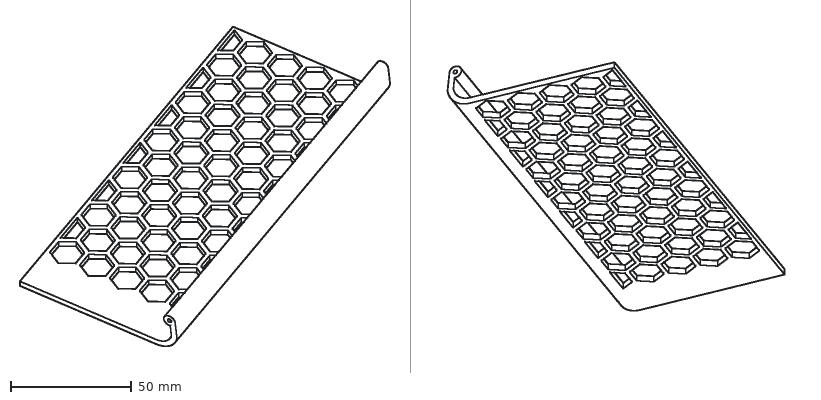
import cadquery as cq
import math

width = 76.2
length = 172.7
height = 20.0
thickness = 2.8

bend_outer_radius = 10.2
bend_inner_radius = bend_outer_radius - thickness
bend_angle = 82.0
bend_start_x = width - bend_outer_radius * math.sin(math.radians(bend_angle))

bead_diameter = 5.5
bead_radius = bead_diameter / 2
bead_x = 72.5
bead_z = height - bead_radius
bore_diameter = 1.7

hex_sides = 6
hex_half_angle = 180 / hex_sides
hex_across_flats = 12.5
hex_across_corners = hex_across_flats / math.cos(math.radians(hex_half_angle))
column_pitch = 14.5
row_count = 12
columns_per_row = 5
grid_first_x = 8.3
grid_back_margin = 8.3
grid_front_margin = 24.5
row_pitch = (length - grid_back_margin - grid_front_margin) / (row_count - 1)
window_left = 1.5
window_right = 65.6


def bend_point(radius, angle):
    """Point (x, z) on the bend, with the angle measured from straight down."""
    turn = math.radians(angle)
    x = bend_start_x + radius * math.sin(turn)
    z = bend_outer_radius - radius * math.cos(turn)
    return x, z


def along_y(sketch):
    """Extrude an XZ sketch over the full length, from y = 0 to y = length."""
    return sketch.extrude(-length)


def make_plate_and_bend():
    outer_end = bend_point(bend_outer_radius, bend_angle)
    inner_end = bend_point(bend_inner_radius, bend_angle)
    sketch = (
        cq.Workplane("XZ")
        .moveTo(0, 0)
        .lineTo(bend_start_x, 0)
        .threePointArc(bend_point(bend_outer_radius, bend_angle / 2), outer_end)
        .lineTo(*inner_end)
        .threePointArc(bend_point(bend_inner_radius, bend_angle / 2), (bend_start_x, thickness))
        .lineTo(0, thickness)
        .close()
    )
    return along_y(sketch)


def make_wall():
    """Flat wall that leans inward; its outer face is tangent to the bead."""
    outer_x, outer_z = bend_point(bend_outer_radius, bend_angle)
    inner_x, inner_z = bend_point(bend_inner_radius, bend_angle)
    to_bead = math.hypot(bead_x - outer_x, bead_z - outer_z)
    bead_direction = math.atan2(bead_z - outer_z, bead_x - outer_x)
    wall_direction = bead_direction - math.asin(bead_radius / to_bead)
    outer_run = math.sqrt(to_bead**2 - bead_radius**2)
    inner_run = (bead_z - inner_z) / math.sin(wall_direction)
    outer_top = (
        outer_x + outer_run * math.cos(wall_direction),
        outer_z + outer_run * math.sin(wall_direction),
    )
    inner_top = (inner_x + inner_run * math.cos(wall_direction), bead_z)
    corners = [(outer_x, outer_z), outer_top, inner_top, (inner_x, inner_z)]
    return along_y(cq.Workplane("XZ").polyline(corners).close())


def make_bead_cylinder(diameter):
    return along_y(cq.Workplane("XZ").center(bead_x, bead_z).circle(diameter / 2))


def hex_centers():
    """Hexagon centers; every other row, from the second, shifts left by half a pitch."""
    centers = []
    for row in range(row_count):
        shift = -column_pitch / 2 if row % 2 else 0
        y = grid_front_margin + row * row_pitch
        for column in range(columns_per_row):
            centers.append((grid_first_x + shift + column * column_pitch, y))
    return centers


def make_hexagonal_prism():
    """Prism through the plate with a corner pointing along Y."""
    prism = cq.Workplane("XY").polygon(hex_sides, hex_across_corners).extrude(thickness)
    return prism.rotate((0, 0, 0), (0, 0, 1), hex_half_angle).val()


def make_perforation():
    """Hexagonal prisms trimmed to the window between the plate edge and the bend."""
    hexagon = make_hexagonal_prism()
    prisms = cq.Workplane("XY").pushPoints(hex_centers()).eachpoint(hexagon, combine=False)
    window = cq.Workplane("XY").box(window_right - window_left, length, thickness, centered=False)
    return prisms.intersect(window.translate((window_left, 0, 0)))


profile = make_plate_and_bend().union(make_wall()).union(make_bead_cylinder(bead_diameter))
result = profile.cut(make_bead_cylinder(bore_diameter)).cut(make_perforation())